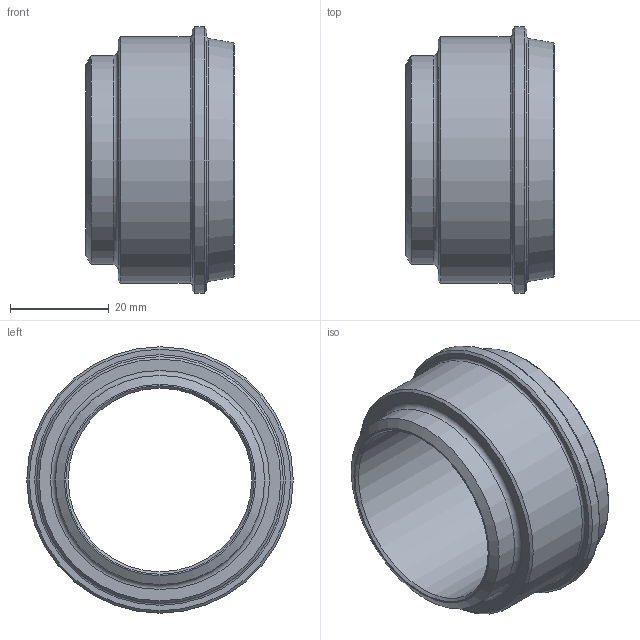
import cadquery as cq
import math

bore_d = 37.2
bore_chamfer = 0.5

spigot_d = 42.4
spigot_face_width = 0.3
bevel_half_angle = 60.0
spigot_fillet = 1.0

body_d = 50.0
body_start = 6.5
edge_chamfer = 0.5

collar_d = 54.0
collar_start = 21.5
collar_width = 3.0
collar_fillet = 0.4

total_length = 30.0
nose_end_d = 47.5
nose_half_angle = 9.5
nose_end_fillet = 0.2

spigot_face_d = bore_d + 2 * (bore_chamfer + spigot_face_width)
bevel_length = (spigot_d - spigot_face_d) / 2 / math.tan(math.radians(bevel_half_angle))
collar_end = collar_start + collar_width
nose_length = total_length - collar_end
nose_d = nose_end_d + 2 * nose_length * math.tan(math.radians(nose_half_angle))


def frustum(start, length, start_d, end_d):
    """Solid of revolution about X, straight-sided between two diameters."""
    profile = [
        (start, 0),
        (start, start_d / 2),
        (start + length, end_d / 2),
        (start + length, 0),
    ]
    return cq.Workplane("XY").polyline(profile).close().revolve(360, (0, 0, 0), (1, 0, 0))


def circle_edge(x, diameter):
    """Selector for the circular edge of a given diameter lying in the plane at x."""
    tol = 0.01
    r = diameter / 2
    ring_box = cq.selectors.BoxSelector(
        (x - tol, -r - tol, -r - tol),
        (x + tol, r + tol, r + tol),
        boundingbox=True,
    )
    inner_box = cq.selectors.BoxSelector(
        (x - tol, -r + tol, -r + tol),
        (x + tol, r - tol, r - tol),
        boundingbox=True,
    )
    return ring_box - inner_box


def outer_body():
    """Stepped outside shape, before the bore is cut."""
    bevel = frustum(0, bevel_length, spigot_face_d, spigot_d)
    spigot = frustum(bevel_length, body_start - bevel_length, spigot_d, spigot_d)
    body = frustum(body_start, collar_start - body_start, body_d, body_d)
    collar = frustum(collar_start, collar_width, collar_d, collar_d)
    nose = frustum(collar_end, nose_length, nose_d, nose_end_d)
    return bevel.union(spigot).union(body).union(collar).union(nose)


def break_outer_edges(part):
    """Chamfer the shoulder corners, then round the nose tip and the inside corners."""
    for x, diameter in (
        (body_start, body_d),
        (collar_start, collar_d),
        (collar_end, collar_d),
    ):
        part = part.edges(circle_edge(x, diameter)).chamfer(edge_chamfer)

    for x, diameter, radius in (
        (body_start, spigot_d, spigot_fillet),
        (collar_start, body_d, collar_fillet),
        (collar_end, nose_d, collar_fillet),
        (total_length, nose_end_d, nose_end_fillet),
    ):
        part = part.edges(circle_edge(x, diameter)).fillet(radius)
    return part


def cut_bore(part):
    """Cut the through bore and break its edge at the spigot face."""
    bore = frustum(0, total_length, bore_d, bore_d)
    bored = part.cut(bore)
    return bored.edges(circle_edge(0, bore_d)).chamfer(bore_chamfer)


result = cut_bore(break_outer_edges(outer_body()))